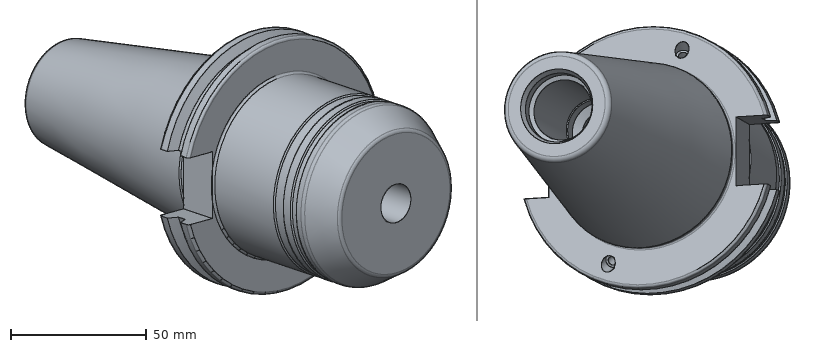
import cadquery as cq
import math

LENGTH = 182.6

TAPER_END_RADIUS = 20.6
GAUGE_X = 101.5
GAUGE_RADIUS = 34.9
TAPER_END_FILLET = 2.0

NECK_DEPTH = 0.4
NECK_CHAMFER = 0.7
NECK_FILLET = 0.5
neck_radius = GAUGE_RADIUS - NECK_DEPTH

FLANGE_X = 104.6
FLANGE_WIDTH = 15.9
FLANGE_RADIUS = 49.21
FLANGE_EDGE_FILLET = 1.1
V_CENTRE_X = 112.7
V_FLOOR_WIDTH = 3.7
V_FLOOR_RADIUS = 45.5
V_WALL_ANGLE = 26
flange_end_x = FLANGE_X + FLANGE_WIDTH
v_floor_half = V_FLOOR_WIDTH / 2
v_mouth_half = v_floor_half + (FLANGE_RADIUS - V_FLOOR_RADIUS) * math.tan(math.radians(V_WALL_ANGLE))

BODY_RADIUS = 35.0
BODY_FILLET = 1.0
GROOVE_DEPTH = 0.5
GROOVE_WALL = 0.5
BODY_GROOVES = [(153.7, 159.2), (163.0, 166.3)]
NOSE_X = 169.8
NOSE_ANGLE = 29
NOSE_SHOULDER_FILLET = 3.3
NOSE_FACE_FILLET = 1.6
nose_end_radius = BODY_RADIUS - (LENGTH - NOSE_X) * math.tan(math.radians(NOSE_ANGLE))

SLOT_WIDTH = 26.0
SLOT_FLOOR_PLUS_Y = 37.6
SLOT_FLOOR_MINUS_Y = 35.5

MOUTH_RADIUS = 14.0
MOUTH_DEPTH = 2.4
RECESS_RADIUS = 13.0
RECESS_DEPTH = 6.5
THREAD_RADIUS = 11.3
THREAD_START = 7.5
THREAD_END = 45.6
TAIL_RADIUS = 10.8
TAIL_END = 51.1
THROUGH_RADIUS = 7.5
DRILL_POINT_ANGLE = 59
drill_point_length = (TAIL_RADIUS - THROUGH_RADIUS) / math.tan(math.radians(DRILL_POINT_ANGLE))

COOLANT_RADIAL = 42
COOLANT_ANGLE = 20
COOLANT_TILT = 32
COUNTERBORE_DIAMETER = 5.3
COUNTERBORE_DEPTH = 3.3
COOLANT_DIAMETER = 3.3
COOLANT_LEAD = 5.5


def revolve_about_x(profile):
    return profile.close().revolve(360, (0, 0, 0), (1, 0, 0))


def fillet_circle(body, x, radius, fillet):
    """Fillet the circular edge of the given radius at position x."""
    margin = 0.1
    box = cq.selectors.BoxSelector(
        (x - margin, -radius - margin, -radius - margin),
        (x + margin, radius + margin, radius + margin),
        boundingbox=True,
    )
    ring = cq.selectors.BoxSelector(
        (x - margin, -radius + margin, -radius + margin),
        (x + margin, radius - margin, radius - margin),
        boundingbox=True,
    )
    return body.edges(box - ring).fillet(fillet)


def turned_body():
    profile = (
        cq.Workplane("XZ")
        .lineTo(0, TAPER_END_RADIUS)
        .lineTo(GAUGE_X, GAUGE_RADIUS)
        .lineTo(GAUGE_X + NECK_CHAMFER, neck_radius)
        .lineTo(FLANGE_X, neck_radius)
        .lineTo(FLANGE_X, FLANGE_RADIUS)
        .lineTo(V_CENTRE_X - v_mouth_half, FLANGE_RADIUS)
        .lineTo(V_CENTRE_X - v_floor_half, V_FLOOR_RADIUS)
        .lineTo(V_CENTRE_X + v_floor_half, V_FLOOR_RADIUS)
        .lineTo(V_CENTRE_X + v_mouth_half, FLANGE_RADIUS)
        .lineTo(flange_end_x, FLANGE_RADIUS)
        .lineTo(flange_end_x, BODY_RADIUS)
    )
    for start, end in BODY_GROOVES:
        profile = (
            profile.lineTo(start, BODY_RADIUS)
            .lineTo(start + GROOVE_WALL, BODY_RADIUS - GROOVE_DEPTH)
            .lineTo(end - GROOVE_WALL, BODY_RADIUS - GROOVE_DEPTH)
            .lineTo(end, BODY_RADIUS)
        )
    profile = profile.lineTo(NOSE_X, BODY_RADIUS).lineTo(LENGTH, nose_end_radius).lineTo(LENGTH, 0)
    body = revolve_about_x(profile)

    rounded_edges = [
        (0, TAPER_END_RADIUS, TAPER_END_FILLET),
        (FLANGE_X, neck_radius, NECK_FILLET),
        (FLANGE_X, FLANGE_RADIUS, FLANGE_EDGE_FILLET),
        (flange_end_x, FLANGE_RADIUS, FLANGE_EDGE_FILLET),
        (flange_end_x, BODY_RADIUS, BODY_FILLET),
        (NOSE_X, BODY_RADIUS, NOSE_SHOULDER_FILLET),
        (LENGTH, nose_end_radius, NOSE_FACE_FILLET),
    ]
    for x, radius, fillet in rounded_edges:
        body = fillet_circle(body, x, radius, fillet)
    return body


def drive_slot(floor, side):
    """Slot cutter across the flange; side is +1 or -1 along Y."""
    depth = FLANGE_RADIUS - floor
    cutter = cq.Workplane("XY").box(FLANGE_WIDTH, depth, SLOT_WIDTH)
    return cutter.translate((FLANGE_X + FLANGE_WIDTH / 2, side * (floor + depth / 2), 0))


def axial_bore():
    profile = (
        cq.Workplane("XZ")
        .lineTo(0, MOUTH_RADIUS)
        .lineTo(MOUTH_DEPTH, RECESS_RADIUS)
        .lineTo(RECESS_DEPTH, RECESS_RADIUS)
        .lineTo(THREAD_START, THREAD_RADIUS)
        .lineTo(THREAD_END, THREAD_RADIUS)
        .lineTo(THREAD_END, TAIL_RADIUS)
        .lineTo(TAIL_END, TAIL_RADIUS)
        .lineTo(TAIL_END + drill_point_length, THROUGH_RADIUS)
        .lineTo(LENGTH, THROUGH_RADIUS)
        .lineTo(LENGTH, 0)
    )
    return revolve_about_x(profile)


def coolant_hole():
    """Counterbored hole from the flange face above the axis, leaning down to the axial bore."""
    tilt = math.radians(COOLANT_TILT)
    direction = cq.Vector(math.cos(tilt), 0, -math.sin(tilt))
    mouth = cq.Vector(FLANGE_X, 0, COOLANT_RADIAL)
    start = mouth - direction * COOLANT_LEAD
    length_to_axis = COOLANT_RADIAL / math.sin(tilt)
    counterbore = cq.Solid.makeCylinder(
        COUNTERBORE_DIAMETER / 2, COOLANT_LEAD + COUNTERBORE_DEPTH, start, direction
    )
    channel = cq.Solid.makeCylinder(COOLANT_DIAMETER / 2, length_to_axis, mouth, direction)
    return cq.Workplane(counterbore).union(cq.Workplane(channel))


result = turned_body()
result = result.cut(drive_slot(SLOT_FLOOR_PLUS_Y, 1))
result = result.cut(drive_slot(SLOT_FLOOR_MINUS_Y, -1))
for turn in (COOLANT_ANGLE, COOLANT_ANGLE + 180):
    result = result.cut(coolant_hole().rotate((0, 0, 0), (1, 0, 0), turn))
result = result.cut(axial_bore())